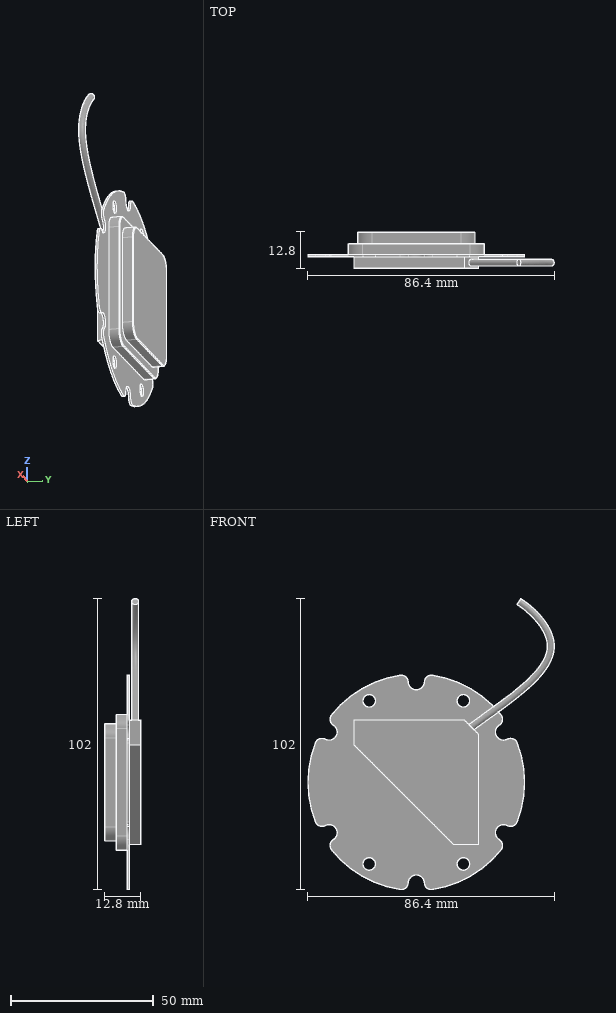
import cadquery as cq
import math

plate_radius = 38.0
plate_thickness = 0.8

notch_count = 6
notch_width = 5.6
notch_floor_radius = 32.5
notch_lip_fillet = 2.5

hole_circle_radius = 33.0
hole_diameter = 4.3
hole_angles = (60, 120, 240, 300)

step_height = 4.0
lower_step_size = 47.7
upper_step_size = 41.2
step_corner_radius = 5.0
step_edge_chamfer = 0.3

housing_size = 43.7
housing_height = 4.0
cable_corner_cut = 5.0
opposite_corner_cut = 35.0

cable_diameter = 2.5
cable_waypoints = [(17.7, 18.15), (34.35, 30.4), (47.14, 48.2), (35.95, 63.37)]
cable_start_direction = (0.8, 0.6)
cable_end_direction = (-0.84, 0.54)

cable_depth = -plate_thickness - housing_height / 2


def xz_plane(y_position):
    """Workplane with global X and Z as its axes; positive extrusion runs towards -Y."""
    return cq.Workplane("XZ", origin=(0, y_position, 0))


def notch_cutter():
    """Round-floored slot that opens through the rim at the top of the plate."""
    half_width = notch_width / 2
    round_center = notch_floor_radius + half_width
    slot_top = plate_radius + notch_width
    return (
        xz_plane(0)
        .moveTo(-half_width, slot_top)
        .lineTo(-half_width, round_center)
        .threePointArc((0, notch_floor_radius), (half_width, round_center))
        .lineTo(half_width, slot_top)
        .close()
        .extrude(plate_thickness)
    )


def make_plate():
    plate = xz_plane(0).circle(plate_radius).extrude(plate_thickness)
    cutter = notch_cutter()
    for index in range(notch_count):
        plate = plate.cut(cutter.rotate((0, 0, 0), (0, 1, 0), index * 360 / notch_count))

    lip_reach = math.sqrt(plate_radius**2 - (notch_width / 2) ** 2)
    lip_edges = []
    for edge in plate.edges("|Y").vals():
        middle = edge.Center()
        on_rim = math.hypot(middle.x, middle.z) > lip_reach
        on_seam = abs(middle.z) < notch_width / 2
        if on_rim and not on_seam:
            lip_edges.append(edge)
    plate = plate.newObject(lip_edges).fillet(notch_lip_fillet)

    hole_centers = []
    for angle in hole_angles:
        turn = math.radians(angle)
        hole_centers.append((hole_circle_radius * math.cos(turn), hole_circle_radius * math.sin(turn)))
    holes = xz_plane(0).pushPoints(hole_centers).circle(hole_diameter / 2).extrude(plate_thickness)
    return plate.cut(holes)


def make_step(size, base_y):
    """Square step with rounded corners and a chamfered back edge, rising towards +Y."""
    return (
        xz_plane(base_y)
        .rect(size, size)
        .extrude(-step_height)
        .edges("|Y")
        .fillet(step_corner_radius)
        .faces(">Y")
        .edges()
        .chamfer(step_edge_chamfer)
    )


def make_housing():
    half = housing_size / 2
    outline = [
        (-half, half),
        (half - cable_corner_cut, half),
        (half, half - cable_corner_cut),
        (half, -half),
        (-half + opposite_corner_cut, -half),
        (-half, -half + opposite_corner_cut),
    ]
    return xz_plane(-plate_thickness).polyline(outline).close().extrude(housing_height)


def make_cable():
    """Round cable swept along a smooth curve; its first end is buried in the housing."""
    start_x, start_z = cable_waypoints[0]
    direction_x, direction_z = cable_start_direction
    path = xz_plane(cable_depth).spline(
        cable_waypoints, tangents=[cable_start_direction, cable_end_direction]
    )
    start_plane = cq.Plane(
        origin=(start_x, cable_depth, start_z),
        xDir=(-direction_z, 0, direction_x),
        normal=(direction_x, 0, direction_z),
    )
    return cq.Workplane(start_plane).circle(cable_diameter / 2).sweep(path)


result = (
    make_plate()
    .union(make_step(lower_step_size, 0))
    .union(make_step(upper_step_size, step_height))
    .union(make_housing())
    .union(make_cable())
)